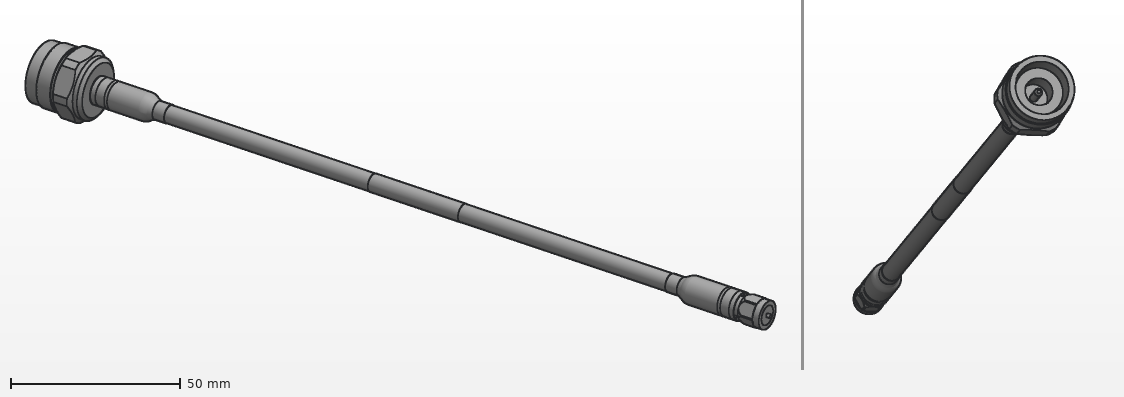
import cadquery as cq
import math

total_length = 258.3

nut_length = 19.4
nut_core_diameter = 19.5
nut_ring_diameter = 20.5
nut_ring_start = 4.1
nut_ring_end = 9.0
nut_hex_flats = 20.7
nut_hex_corner_diameter = 22.5
nut_hex_start = 9.8
nut_hex_end = 16.8
nut_hex_chamfer = 1.0
nut_rear_chamfer_length = 1.0
nut_rear_chamfer_depth = 1.3
nut_bore_diameter = 16.0
nut_bore_depth = 15.5

big_body_diameter = 14.5
socket_face = 4.6
socket_diameter = 8.3
socket_depth = 7.7
center_pin_diameter = 2.3
center_pin_tip_diameter = 1.0
center_pin_tip_length = 0.8
center_pin_seat = 1.5

stem_diameter = 6.2
collar_diameter = 8.5
collar_recess = 1.8
collar_length = 3.0
collar_end_gap = 1.0

barrel_diameter = 9.0
barrel_length = 17.3
nose_length = 2.3
nose_end_diameter = 7.2
cone_length = 1.5
sleeve_diameter = 6.0
sleeve_length = 4.1
ferrule_length = barrel_length + nose_length + cone_length + sleeve_length
big_ferrule_start = nut_length
small_ferrule_end = 248.0

cable_diameter = 5.7
label_thickness = 0.08
label_start = 117.0
label_length = 32.0
cable_inset = collar_recess + collar_length
cable_start = big_ferrule_start + cable_inset
cable_end = small_ferrule_end - cable_inset

small_nut_start = 249.2
small_nut_end = 257.0
small_hex_end = 254.6
small_hex_flats = 8.3
small_hex_corner_diameter = 9.3
small_hex_chamfer_length = 1.3
small_hex_chamfer_depth = 0.5
rim_diameter = 9.0
end_pin_diameter = 1.3


def cylinder(start, end, diameter):
    """Solid round bar along X."""
    return cq.Workplane("YZ", origin=(start, 0, 0)).circle(diameter / 2).extrude(end - start)


def tube(start, end, outer_diameter, inner_diameter):
    return cylinder(start, end, outer_diameter).cut(cylinder(start, end, inner_diameter))


def turned(stations):
    """Solid of revolution about X from (x, diameter) stations, closed along the axis."""
    rim = [(x, -diameter / 2) for x, diameter in stations]
    ends = [(stations[-1][0], 0), (stations[0][0], 0)]
    return cq.Workplane("XY").polyline(rim + ends).close().revolve(360, (0, 0), (1, 0))


def hexagon(across_flats, envelope):
    """Hexagon with flats facing up and down, its corners cut to a turned envelope."""
    across_corners = across_flats / math.cos(math.pi / 6)
    prism = cq.Workplane("YZ").polygon(6, across_corners).extrude(total_length)
    return prism.intersect(envelope)


def make_coupling_nut():
    core = turned(
        [
            (0, nut_core_diameter),
            (nut_length - nut_rear_chamfer_length, nut_core_diameter),
            (nut_length, nut_core_diameter - 2 * nut_rear_chamfer_depth),
        ]
    )
    ring = cylinder(nut_ring_start, nut_ring_end, nut_ring_diameter)
    hex_envelope = turned(
        [
            (nut_hex_start, nut_core_diameter),
            (nut_hex_start + nut_hex_chamfer, nut_hex_corner_diameter),
            (nut_hex_end - nut_hex_chamfer, nut_hex_corner_diameter),
            (nut_hex_end, nut_core_diameter),
        ]
    )
    grip = hexagon(nut_hex_flats, hex_envelope)
    bore = cylinder(0, nut_bore_depth, nut_bore_diameter)
    stem_hole = cylinder(0, nut_length, stem_diameter)
    return core.union(ring).union(grip).cut(bore).cut(stem_hole)


def make_big_body():
    collar_start = big_ferrule_start + collar_recess
    body = turned(
        [
            (socket_face, big_body_diameter),
            (nut_bore_depth, big_body_diameter),
            (nut_bore_depth, stem_diameter),
            (collar_start, stem_diameter),
            (collar_start, collar_diameter),
            (collar_start + collar_length, collar_diameter),
        ]
    )
    socket_floor = socket_face + socket_depth
    socket = cylinder(socket_face, socket_floor, socket_diameter)
    pin_seat = cylinder(socket_floor, socket_floor + center_pin_seat, center_pin_diameter)
    return body.cut(socket).cut(pin_seat)


def make_center_pin():
    pin_end = socket_face + socket_depth + center_pin_seat
    return turned(
        [
            (socket_face, center_pin_tip_diameter),
            (socket_face + center_pin_tip_length, center_pin_diameter),
            (pin_end, center_pin_diameter),
        ]
    )


def make_ferrule(open_end, direction):
    """Ferrule from its open barrel end towards the cable; direction is +1 or -1 along X."""

    def along(distance):
        return open_end + direction * distance

    nose_end = barrel_length + nose_length
    cone_end = nose_end + cone_length
    outside = (
        cq.Workplane("XY")
        .moveTo(along(0), 0)
        .lineTo(along(0), -barrel_diameter / 2)
        .lineTo(along(barrel_length), -barrel_diameter / 2)
        .tangentArcPoint((along(nose_end), -nose_end_diameter / 2), relative=False)
        .lineTo(along(cone_end), -sleeve_diameter / 2)
        .lineTo(along(ferrule_length), -sleeve_diameter / 2)
        .lineTo(along(ferrule_length), 0)
        .close()
        .revolve(360, (0, 0), (1, 0))
    )
    collar_pocket = cylinder(along(0), along(cable_inset + collar_end_gap), collar_diameter)
    cable_hole = cylinder(along(0), along(ferrule_length), cable_diameter)
    return outside.cut(collar_pocket).cut(cable_hole)


def make_small_body():
    collar_end = small_ferrule_end - collar_recess
    return turned(
        [
            (collar_end - collar_length, collar_diameter),
            (collar_end, collar_diameter),
            (collar_end, stem_diameter),
            (small_nut_end, stem_diameter),
            (small_nut_end, end_pin_diameter),
            (total_length, end_pin_diameter),
        ]
    )


def make_small_nut():
    hex_envelope = turned(
        [
            (small_nut_start, small_hex_corner_diameter - 2 * small_hex_chamfer_depth),
            (small_nut_start + small_hex_chamfer_length, small_hex_corner_diameter),
            (small_hex_end, small_hex_corner_diameter),
        ]
    )
    grip = hexagon(small_hex_flats, hex_envelope)
    rim = cylinder(small_hex_end, small_nut_end, rim_diameter)
    stem_hole = cylinder(small_nut_start, small_nut_end, stem_diameter)
    return grip.union(rim).cut(stem_hole)


def make_label():
    label_diameter = cable_diameter + 2 * label_thickness
    return tube(label_start, label_start + label_length, label_diameter, cable_diameter)


coupling_nut = make_coupling_nut()
big_body = make_big_body()
center_pin = make_center_pin()
ferrules = [
    make_ferrule(open_end, direction).val()
    for open_end, direction in ((big_ferrule_start, 1), (small_ferrule_end, -1))
]
cable = cylinder(cable_start, cable_end, cable_diameter)
label = make_label()
small_body = make_small_body()
small_nut = make_small_nut()

result = cq.Compound.makeCompound(
    [
        coupling_nut.val(),
        big_body.val(),
        center_pin.val(),
        *ferrules,
        cable.val(),
        label.val(),
        small_body.val(),
        small_nut.val(),
    ]
)